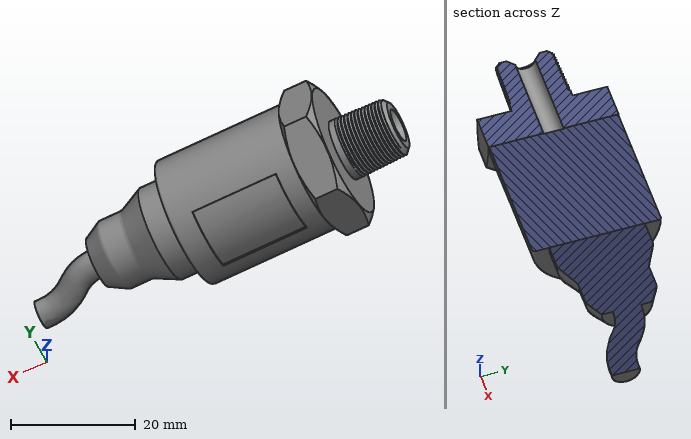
import cadquery as cq
import math


TOTAL_LENGTH = 66.47
HEX_FRONT = 9.92
HEX_BACK = 15.97
HOUSING_END = 38.5
BOOT_END = 54.1

ACROSS_FLATS = 22.0
ACROSS_CORNERS = ACROSS_FLATS / math.cos(math.radians(30))
HEX_FACE_DIAMETER = 21.8
HEX_CHAMFER_ANGLE = 30.0

SHANK_DIAMETER = 10.3
THREAD_DEPTH = 0.3
THREAD_PITCH = 0.6
THREAD_START = 0.3
THREAD_END = 8.7
THREAD_TAPER = 1 / 32
THREAD_HALF_WIDTH = 0.27
THREAD_CLEARANCE = 0.02
THREAD_PHASE = 180.0
TIP_DIAMETER = 8.0
TIP_CHAMFER = 0.85

BORE_DIAMETER = 3.3
BORE_MOUTH_DIAMETER = 5.6
BORE_DEPTH = HEX_BACK

HOUSING_DIAMETER = 21.8
HOUSING_END_FILLET = 0.5

LABEL_FLOOR_DIAMETER = 21.2
LABEL_START = 19.3
LABEL_LENGTH = 15.0
LABEL_HALF_ANGLE = 30.0
LABEL_CUT_MARGIN = 1.0

BOOT_DIAMETER = 16.2
BOOT_NECK_DIAMETER = 12.0
BOOT_TIP_DIAMETER = 8.6
BOOT_STEP_END = 42.7
BOOT_NECK_START = 46.95
BOOT_NECK_END = 51.05
BOOT_BLEND_RADIUS = 1.0
SELECTION_MARGIN = 0.1

CABLE_DIAMETER = 4.8
CABLE_OFFSET = 4.2
CABLE_BEND_LENGTH = 11.2
CABLE_MIDDLE_SLOPE = 0.83


def revolved(profile):
    """Closed half profile of (x, radius) points turned about the X axis."""
    return profile.close().revolve(360, (0, 0, 0), (1, 0, 0))


def make_hexagon():
    """Hexagon with corners at +Z and -Z, chamfered on both faces by a double cone."""
    height = HEX_BACK - HEX_FRONT
    prism = (
        cq.Workplane("YZ", origin=(HEX_FRONT, 0, 0))
        .polygon(6, ACROSS_CORNERS)
        .extrude(height)
        .rotate((0, 0, 0), (1, 0, 0), 90)
    )
    face_radius = HEX_FACE_DIAMETER / 2
    middle_radius = face_radius + height / 2 / math.tan(math.radians(HEX_CHAMFER_ANGLE))
    double_cone = revolved(
        cq.Workplane("XY")
        .moveTo(HEX_FRONT, 0)
        .lineTo(HEX_FRONT, face_radius)
        .lineTo((HEX_FRONT + HEX_BACK) / 2, middle_radius)
        .lineTo(HEX_BACK, face_radius)
        .lineTo(HEX_BACK, 0)
    )
    return prism.intersect(double_cone)


def crest_radius(x):
    """Radius of the thread taper at station x; it meets the plain shank at the thread end."""
    return SHANK_DIAMETER / 2 - (THREAD_END - x) * THREAD_TAPER


def make_thread_groove():
    """V groove wound along the taper, its section standing clear of the crests outside."""
    root_radius = crest_radius(THREAD_START) - THREAD_DEPTH
    outer_radius = crest_radius(THREAD_START) + THREAD_CLEARANCE
    half_width = THREAD_HALF_WIDTH * (outer_radius - root_radius) / THREAD_DEPTH
    helix = cq.Wire.makeHelix(
        THREAD_PITCH,
        THREAD_END - THREAD_START,
        root_radius,
        angle=math.degrees(math.atan(THREAD_TAPER)),
    )
    return (
        cq.Workplane("XZ")
        .polyline([(root_radius, 0), (outer_radius, half_width), (outer_radius, -half_width)])
        .close()
        .sweep(cq.Workplane(helix), isFrenet=True)
        .rotate((0, 0, 0), (0, 0, 1), THREAD_PHASE)
        .rotate((0, 0, 0), (0, 1, 0), 90)
        .translate((THREAD_START, 0, 0))
    )


def make_port():
    """Chamfered, tapered and threaded port that ends in a plain shank at the hexagon."""
    shank_radius = SHANK_DIAMETER / 2
    tip_radius = TIP_DIAMETER / 2
    blank = revolved(
        cq.Workplane("XY")
        .lineTo(0, tip_radius)
        .lineTo(TIP_CHAMFER, crest_radius(TIP_CHAMFER))
        .lineTo(THREAD_END, shank_radius)
        .lineTo(HEX_FRONT, shank_radius)
        .lineTo(HEX_FRONT, 0)
    )
    return blank.cut(make_thread_groove())


def make_bore():
    """Pressure bore with a 45 degree countersunk mouth."""
    mouth_radius = BORE_MOUTH_DIAMETER / 2
    bore_radius = BORE_DIAMETER / 2
    return revolved(
        cq.Workplane("XY")
        .lineTo(0, mouth_radius)
        .lineTo(mouth_radius - bore_radius, bore_radius)
        .lineTo(BORE_DEPTH, bore_radius)
        .lineTo(BORE_DEPTH, 0)
    )


def make_label_recess():
    """Shallow sector of a ring, centred on -Z."""
    ring = (
        cq.Workplane("YZ", origin=(LABEL_START, 0, 0))
        .circle(HOUSING_DIAMETER / 2 + LABEL_CUT_MARGIN)
        .circle(LABEL_FLOOR_DIAMETER / 2)
        .extrude(LABEL_LENGTH)
    )
    reach = HOUSING_DIAMETER
    half_width = reach * math.tan(math.radians(LABEL_HALF_ANGLE))
    wedge = (
        cq.Workplane("YZ", origin=(LABEL_START, 0, 0))
        .polyline([(0, 0), (half_width, -reach), (-half_width, -reach)])
        .close()
        .extrude(LABEL_LENGTH)
    )
    return ring.intersect(wedge)


def make_housing():
    """Round barrel with a rounded rear rim and the label recess."""
    barrel = (
        cq.Workplane("YZ", origin=(HEX_BACK, 0, 0))
        .circle(HOUSING_DIAMETER / 2)
        .extrude(HOUSING_END - HEX_BACK)
        .faces(">X")
        .edges()
        .fillet(HOUSING_END_FILLET)
    )
    return barrel.cut(make_label_recess())


def make_boot():
    """Stepped boot whose neck blends into the cones at both of its ends."""
    blend_edges = cq.selectors.BoxSelector(
        (BOOT_NECK_START - SELECTION_MARGIN, -BOOT_DIAMETER, -BOOT_DIAMETER),
        (BOOT_NECK_END + SELECTION_MARGIN, BOOT_DIAMETER, BOOT_DIAMETER),
    )
    turned = revolved(
        cq.Workplane("XY")
        .moveTo(HOUSING_END, 0)
        .lineTo(HOUSING_END, BOOT_DIAMETER / 2)
        .lineTo(BOOT_STEP_END, BOOT_DIAMETER / 2)
        .lineTo(BOOT_NECK_START, BOOT_NECK_DIAMETER / 2)
        .lineTo(BOOT_NECK_END, BOOT_NECK_DIAMETER / 2)
        .lineTo(BOOT_END, BOOT_TIP_DIAMETER / 2)
        .lineTo(BOOT_END, 0)
    )
    return turned.edges("%CIRCLE").edges(blend_edges).fillet(BOOT_BLEND_RADIUS)


def make_cable():
    """Cable that swings sideways to -Y in a smooth S and ends along +X again."""
    path = (
        cq.Workplane("XY")
        .moveTo(BOOT_END, 0)
        .spline(
            [
                (BOOT_END + CABLE_BEND_LENGTH / 2, -CABLE_OFFSET / 2),
                (BOOT_END + CABLE_BEND_LENGTH, -CABLE_OFFSET),
                (TOTAL_LENGTH, -CABLE_OFFSET),
            ],
            tangents=[(1, 0), (1, -CABLE_MIDDLE_SLOPE), (1, 0), (1, 0)],
            includeCurrent=True,
        )
    )
    return cq.Workplane("YZ", origin=(BOOT_END, 0, 0)).circle(CABLE_DIAMETER / 2).sweep(path)


fitting = make_hexagon().union(make_port()).cut(make_bore())
housing = make_housing()
boot_and_cable = make_boot().union(make_cable())

result = cq.Compound.makeCompound([fitting.val(), housing.val(), boot_and_cable.val()])